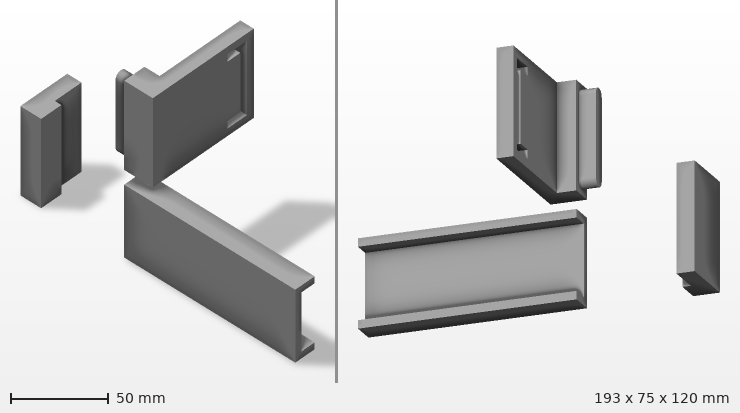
import cadquery as cq

total_length = 193.0
plate_height = 60.0
foot_width = 15.0

block_width = 35.0
block_thickness = 10.0
block_foot_thickness = 14.7

rail_length = 120.0
rail_width = 14.5
rail_height = 49.0
rail_wall = 4.6
rail_bottom = 1.2
rail_start = total_length - rail_length

clamp_width = 75.0
clamp_foot_thickness = 20.0
clamp_plate_thickness = 9.5
clamp_start = rail_start
clamp_end = clamp_start + clamp_foot_thickness
clamp_bottom = plate_height
clamp_middle = clamp_bottom + plate_height / 2

slot_width = 14.7
slot_height = 50.0
slot_gap = 5.0
slot_margin = (plate_height - slot_height) / 2

tongue_length = 9.5
tongue_width = 8.0
tongue_height = 53.7


def box(x_range, y_range, z_range):
    """Box spanning the given (low, high) range on each axis."""
    (x0, x1), (y0, y1), (z0, z1) = x_range, y_range, z_range
    return cq.Workplane("XY").box(x1 - x0, y1 - y0, z1 - z0, centered=False).translate((x0, y0, z0))


def make_end_block():
    height = (0, plate_height)
    plate = box((0, block_thickness), (0, block_width), height)
    foot = box((0, block_foot_thickness), (0, foot_width), height)
    return plate.union(foot)


def make_rail():
    along = (rail_start, total_length)
    rail_top = rail_bottom + rail_height
    outer = box(along, (0, rail_width), (rail_bottom, rail_top))
    channel = box(along, (rail_wall, rail_width), (rail_bottom + rail_wall, rail_top - rail_wall))
    return outer.cut(channel)


def make_slot():
    """C-shaped cutter with its web towards +Y and its two legs towards -Y."""
    through = (clamp_end - clamp_plate_thickness, clamp_end)
    web_side = clamp_width - slot_margin
    leg_end = web_side - slot_width
    low = clamp_bottom + slot_margin
    high = low + slot_height
    outer = box(through, (leg_end, web_side), (low, high))
    core = box(through, (leg_end, web_side - slot_gap), (low + slot_gap, high - slot_gap))
    return outer.cut(core)


def make_tongue():
    return (
        cq.Workplane("YZ", origin=(clamp_start - tongue_length, 0, 0))
        .center(foot_width / 2, clamp_middle)
        .slot2D(tongue_height, tongue_width, 90)
        .extrude(tongue_length)
    )


def make_clamp():
    height = (clamp_bottom, clamp_bottom + plate_height)
    plate = box((clamp_end - clamp_plate_thickness, clamp_end), (0, clamp_width), height)
    foot = box((clamp_start, clamp_end), (0, foot_width), height)
    return plate.union(foot).cut(make_slot()).union(make_tongue())


end_block = make_end_block()
rail = make_rail()
clamp = make_clamp()

result = cq.Compound.makeCompound([end_block.val(), rail.val(), clamp.val()])